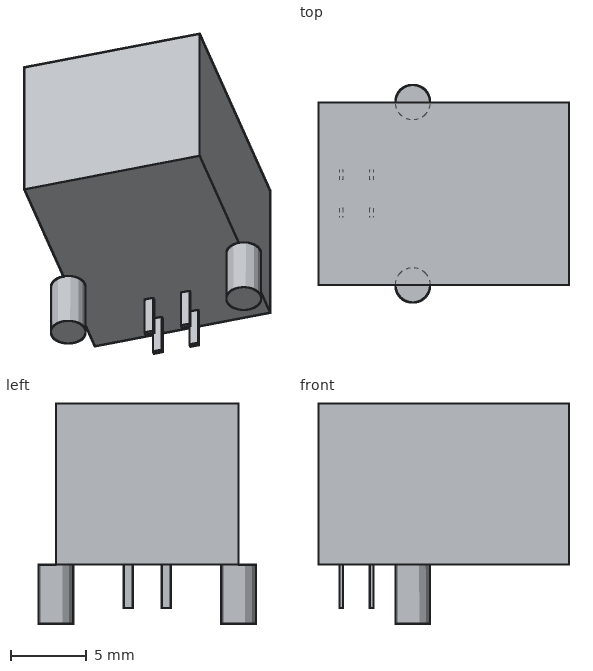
import cadquery as cq

body_length = 16.5
body_width = 12.04
body_height = 10.62

peg_diameter = 2.3
peg_length = 3.9

pin_thickness = 0.25
pin_width = 0.6
pin_length = 2.86
pin_pitch_x = 2.0
pin_pitch_y = 2.5
pin_row_to_peg = 2.71

peg_x = 6.21
inner_pin_x = peg_x - pin_row_to_peg
outer_pin_x = inner_pin_x - pin_pitch_x


def make_housing():
    return cq.Workplane("XY").box(
        body_length, body_width, body_height, centered=(False, True, False)
    )


def make_pegs():
    peg_centres = [(peg_x, side * body_width / 2) for side in (-1, 1)]
    return (
        cq.Workplane("XY")
        .pushPoints(peg_centres)
        .circle(peg_diameter / 2)
        .extrude(-peg_length)
    )


def make_pins():
    pin_centres = [
        (x, side * pin_pitch_y / 2)
        for x in (outer_pin_x, inner_pin_x)
        for side in (-1, 1)
    ]
    return (
        cq.Workplane("XY")
        .pushPoints(pin_centres)
        .rect(pin_thickness, pin_width)
        .extrude(-pin_length)
    )


result = make_housing().union(make_pegs()).union(make_pins())